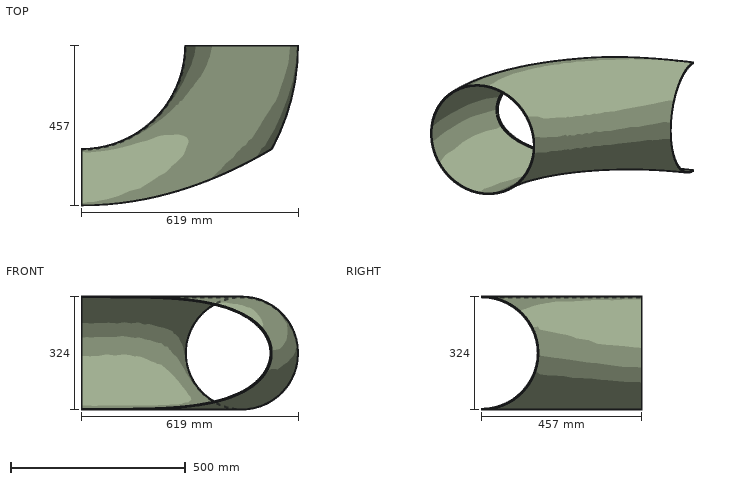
import cadquery as cq

outer_reach = 619.0
pipe_diameter = 324.0
wall = 3.0
bend_angle = 90

outer_radius = pipe_diameter / 2
inner_radius = outer_radius - wall
bend_radius = outer_reach - outer_radius


def elbow(tube_radius):
    """Solid quarter bend about the Z axis, from the +X axis round to the -Y axis."""
    section = cq.Workplane("XZ").center(bend_radius, 0).circle(tube_radius)
    return section.revolve(bend_angle, (-bend_radius, 0), (-bend_radius, -1))


def mouth_edge(fraction):
    """Point on the parabola where the bend and the straight pipe meet in plan.

    It is equally far from the bend axis and from the line y = -2 * bend_radius.
    """
    x = outer_reach * fraction
    y = x**2 / (4 * bend_radius) - bend_radius
    return (x, y, 0)


def mouth_cut():
    """Prism that removes everything on the -Y side of the mouth edge."""
    profile = (
        cq.Workplane("XY")
        .parametricCurve(mouth_edge, makeWire=False)
        .lineTo(outer_reach, -outer_reach)
        .lineTo(0, -outer_reach)
        .close()
    )
    return profile.extrude(outer_radius, both=True)


pipe_shell = elbow(outer_radius).cut(elbow(inner_radius))
result = pipe_shell.cut(mouth_cut())